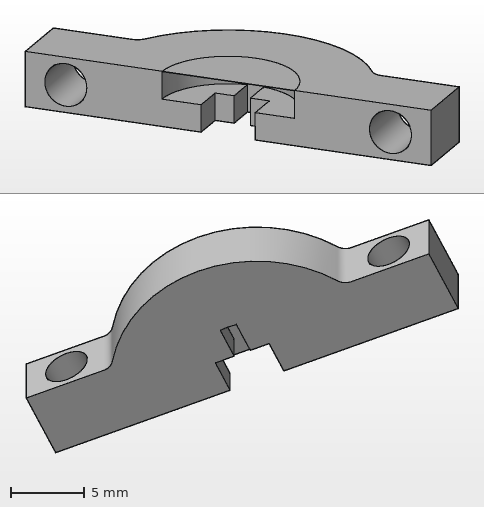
import cadquery as cq

bar_length = 30.0
bar_depth = 5.0
skin = 0.03
body_height = 4.0
height = body_height + skin

dome_radius = 10.0
blend_radius = 1.0

pocket_radius = 4.9
pocket_floor = 2.0

wide_slot_width = 4.0
wide_slot_depth = 2.5
narrow_slot_width = 1.2

hole_diameter = 3.1
hole_spacing = 24.0
hole_height = height / 2


def half_disc(radius, thickness):
    """Half cylinder behind the front face (Y >= 0), standing on Z = 0."""
    return (
        cq.Workplane("XY")
        .moveTo(-radius, 0)
        .threePointArc((0, radius), (radius, 0))
        .close()
        .extrude(thickness)
    )


def front_block(width, depth, thickness):
    """Block centred in X that reaches back from the front face."""
    return cq.Workplane("XY").box(width, depth, thickness, centered=(True, False, False))


def make_body():
    bar = front_block(bar_length, bar_depth, height)
    body = bar.union(half_disc(dome_radius, height))
    dome_half_chord = (dome_radius**2 - bar_depth**2) ** 0.5
    corners = [(side * dome_half_chord, bar_depth, height / 2) for side in (-1, 1)]
    for corner in corners:
        body = body.edges(cq.selectors.NearestToPointSelector(corner)).fillet(blend_radius)
    return body


def make_pocket():
    pocket = half_disc(pocket_radius, body_height - pocket_floor)
    return pocket.translate((0, 0, pocket_floor))


def make_stepped_slot():
    wide_slot = front_block(wide_slot_width, wide_slot_depth, pocket_floor)
    narrow_slot = front_block(narrow_slot_width, pocket_radius, pocket_floor).intersect(
        half_disc(pocket_radius, pocket_floor)
    )
    return wide_slot.union(narrow_slot)


def make_holes():
    holes = cq.Workplane("XZ").pushPoints(
        [(side * hole_spacing / 2, hole_height) for side in (-1, 1)]
    )
    return holes.circle(hole_diameter / 2).extrude(-bar_depth)


result = make_body().cut(make_pocket()).cut(make_stepped_slot()).cut(make_holes())